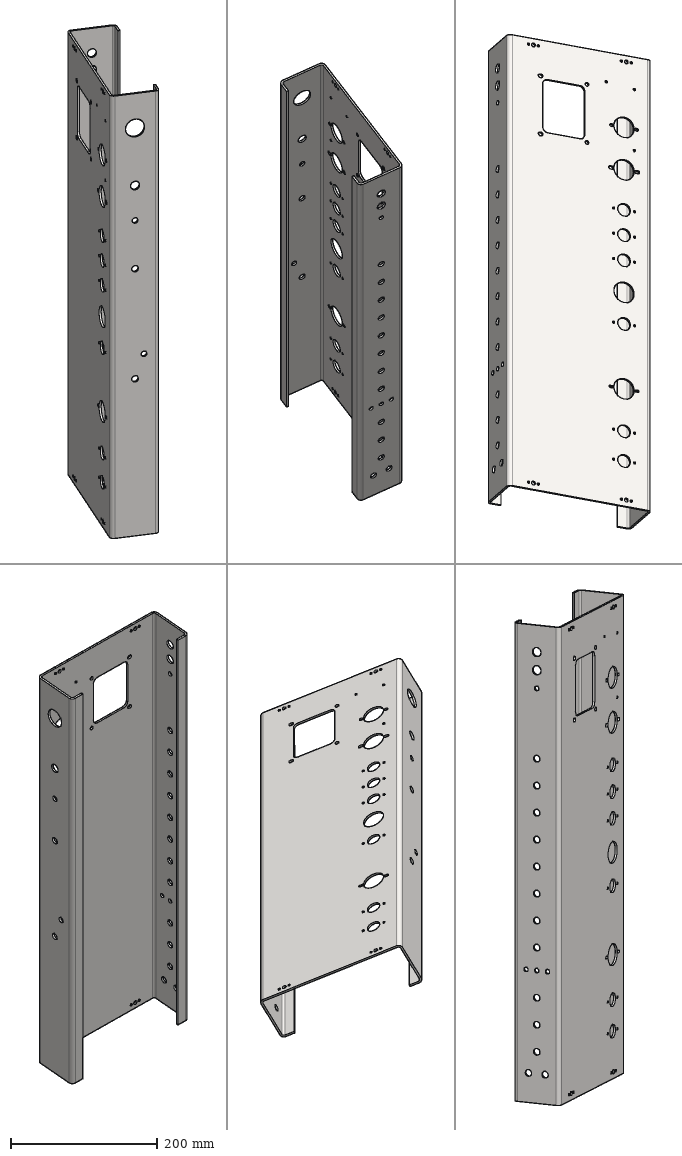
import cadquery as cq

WIDTH = 216.0
DEPTH = 70.0
HEIGHT = 673.0
SHEET = 3.0
BEND_RADIUS = 6.0
LIP = 20.0

EDGE_GROUP_X = 70.0
EDGE_GROUP_Z = 327.0
EDGE_GROUP_PITCH = 7.5
EDGE_MAIN_DIAMETER = 5.6
EDGE_SIDE_DIAMETER = 3.3

WINDOW_X = -24.0
WINDOW_Z = 239.5
WINDOW_WIDTH = 63.0
WINDOW_HEIGHT = 79.5
WINDOW_CORNER = 7.5
WINDOW_FIXING_SPACING_X = 70.0
WINDOW_FIXING_SPACING_Z = 87.0
WINDOW_FIXING_DIAMETER = 5.3
WINDOW_SLOT_LENGTH = 7.0

CONNECTOR_X = 66.5
SMALL_DIAMETER = 19.0
SMALL_SCREW_SPACING = 31.5
SMALL_SCREW_DIAMETER = 3.15
SMALL_HEIGHTS = (106.0, 68.0, 30.0, -64.5, -225.0, -269.0)
LARGE_DIAMETER = 30.0
PLAIN_LARGE_Z = -17.5
SLOTTED_LARGE_HOLES = (
    (229.0, 38.0, 5.5, 4.0),
    (165.5, 39.0, 7.5, 5.0),
    (-161.5, 38.5, 7.0, 3.5),
)

PIN_DIAMETER = 3.3
PIN_HOLES = ((40.0, 292.0), (82.0, 288.0), (82.0, 197.0))

LEFT_TOP_HEIGHTS = (299.0, 273.0)
LEFT_TOP_DIAMETER = 13.0
LEFT_SINGLE_Z = 248.0
LEFT_SINGLE_DIAMETER = 6.45
ROW_DIAMETER = 9.5
LEFT_ROWS = ((149.0, 266.0, 8), (-188.0, 76.0, 3))
TRIPLE_Z = -149.5
TRIPLE_PITCH = 16.0
TRIPLE_DIAMETER = 6.3
PAIR_Z = -295.0
PAIR_SPACING = 25.0
PAIR_DIAMETER = 9.5

RIGHT_HOLES = (
    (0, 284.0, 27.0),
    (0, 196.5, 13.0),
    (0, 143.5, 8.0),
    (0, 70.0, 9.5),
    (13.0, -61.0, 8.0),
    (0, -97.5, 9.5),
)

CUT_DEPTH = 2 * SHEET
CUT_START = SHEET / 2


def channel():
    """Bent sheet channel with two return lips along its open side."""
    outer = cq.Workplane("XY").box(WIDTH, DEPTH, HEIGHT).edges("|Z").fillet(BEND_RADIUS)
    inner = (
        cq.Workplane("XY")
        .box(WIDTH - 2 * SHEET, DEPTH - 2 * SHEET, HEIGHT)
        .edges("|Z")
        .fillet(BEND_RADIUS - SHEET)
    )
    opening = cq.Workplane("XY").box(WIDTH - 2 * LIP, DEPTH, HEIGHT).translate((0, DEPTH / 2, 0))
    return outer.cut(inner).cut(opening)


def mirrored(centre, spacing, z):
    """Two points at one height, spaced evenly about a centre."""
    return [(centre - spacing / 2, z), (centre + spacing / 2, z)]


def front_points(points):
    """Points given as (X, Z) on the plane where the front wall cutters start."""
    return cq.Workplane("XZ", origin=(0, -DEPTH / 2 - CUT_START, 0)).pushPoints(points)


def front_holes(points, diameter):
    return front_points(points).circle(diameter / 2).extrude(-CUT_DEPTH)


def front_slots(points, length, width):
    return front_points(points).slot2D(length, width).extrude(-CUT_DEPTH)


def left_holes(points, diameter):
    """Holes at (Y, Z) points through the wall at -X."""
    plane = cq.Workplane("YZ", origin=(-WIDTH / 2 - CUT_START, 0, 0))
    return plane.pushPoints(points).circle(diameter / 2).extrude(CUT_DEPTH)


def right_holes(points, diameter):
    """Holes at (Y, Z) points through the wall at +X."""
    plane = cq.Workplane("YZ", origin=(WIDTH / 2 + CUT_START, 0, 0))
    return plane.pushPoints(points).circle(diameter / 2).extrude(-CUT_DEPTH)


def edge_group_cutters():
    cutters = []
    for z in (-EDGE_GROUP_Z, EDGE_GROUP_Z):
        for x in (-EDGE_GROUP_X, EDGE_GROUP_X):
            cutters.append(front_holes([(x, z)], EDGE_MAIN_DIAMETER))
            cutters.append(front_holes(mirrored(x, 2 * EDGE_GROUP_PITCH, z), EDGE_SIDE_DIAMETER))
    return cutters


def window_cutters():
    window = (
        front_points([(WINDOW_X, WINDOW_Z)])
        .rect(WINDOW_WIDTH, WINDOW_HEIGHT)
        .extrude(-CUT_DEPTH)
        .edges("|Y")
        .fillet(WINDOW_CORNER)
    )
    half_x = WINDOW_FIXING_SPACING_X / 2
    half_z = WINDOW_FIXING_SPACING_Z / 2
    heights = (WINDOW_Z - half_z, WINDOW_Z + half_z)
    round_points = [(WINDOW_X + half_x, z) for z in heights]
    slot_points = [(WINDOW_X - half_x, z) for z in heights]
    return [
        window,
        front_holes(round_points, WINDOW_FIXING_DIAMETER),
        front_slots(slot_points, WINDOW_SLOT_LENGTH, WINDOW_FIXING_DIAMETER),
    ]


def connector_cutters():
    cutters = [front_holes([(CONNECTOR_X, PLAIN_LARGE_Z)], LARGE_DIAMETER)]
    for z, spacing, length, width in SLOTTED_LARGE_HOLES:
        cutters.append(front_holes([(CONNECTOR_X, z)], LARGE_DIAMETER))
        cutters.append(front_slots(mirrored(CONNECTOR_X, spacing, z), length, width))
    for z in SMALL_HEIGHTS:
        cutters.append(front_holes([(CONNECTOR_X, z)], SMALL_DIAMETER))
        screws = mirrored(CONNECTOR_X, SMALL_SCREW_SPACING, z)
        cutters.append(front_holes(screws, SMALL_SCREW_DIAMETER))
    return cutters


def left_wall_cutters():
    cutters = [
        left_holes([(0, z) for z in LEFT_TOP_HEIGHTS], LEFT_TOP_DIAMETER),
        left_holes([(0, LEFT_SINGLE_Z)], LEFT_SINGLE_DIAMETER),
        left_holes([(i * TRIPLE_PITCH, TRIPLE_Z) for i in (-1, 0, 1)], TRIPLE_DIAMETER),
        left_holes(mirrored(0, PAIR_SPACING, PAIR_Z), PAIR_DIAMETER),
    ]
    for top, length, count in LEFT_ROWS:
        pitch = length / (count - 1)
        cutters.append(left_holes([(0, top - i * pitch) for i in range(count)], ROW_DIAMETER))
    return cutters


def right_wall_cutters():
    return [right_holes([(y, z)], diameter) for y, z, diameter in RIGHT_HOLES]


cutters = edge_group_cutters() + window_cutters() + connector_cutters()
cutters.append(front_holes(PIN_HOLES, PIN_DIAMETER))
cutters += left_wall_cutters() + right_wall_cutters()

result = channel()
for cutter in cutters:
    result = result.cut(cutter)